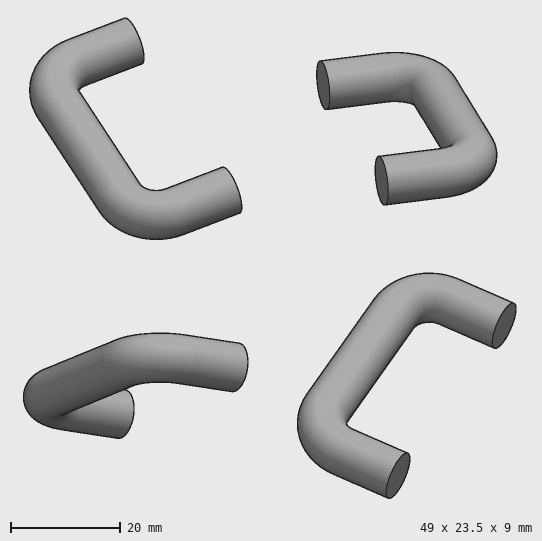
import cadquery as cq

handle_length = 49.0
handle_depth = 23.5
bar_diameter = 9.0
bend_radius = 7.5

bar_radius = bar_diameter / 2
leg_x = handle_length / 2 - bar_radius
grip_half = leg_x - bend_radius
leg_end_y = handle_depth - bar_radius
bend_offset = bend_radius * (1 - 0.5 ** 0.5)


def make_handle():
    """Round bar bent into a U: two legs along +Y joined by a grip along X."""
    centre_line = (
        cq.Workplane("XY")
        .moveTo(-leg_x, leg_end_y)
        .lineTo(-leg_x, bend_radius)
        .threePointArc((-leg_x + bend_offset, bend_offset), (-grip_half, 0))
        .lineTo(grip_half, 0)
        .threePointArc((leg_x - bend_offset, bend_offset), (leg_x, bend_radius))
        .lineTo(leg_x, leg_end_y)
    )
    leg_end = cq.Workplane("XZ", origin=(-leg_x, leg_end_y, 0))
    return leg_end.circle(bar_radius).sweep(centre_line)


handle = make_handle()
result = cq.Compound.makeCompound([handle.val()])